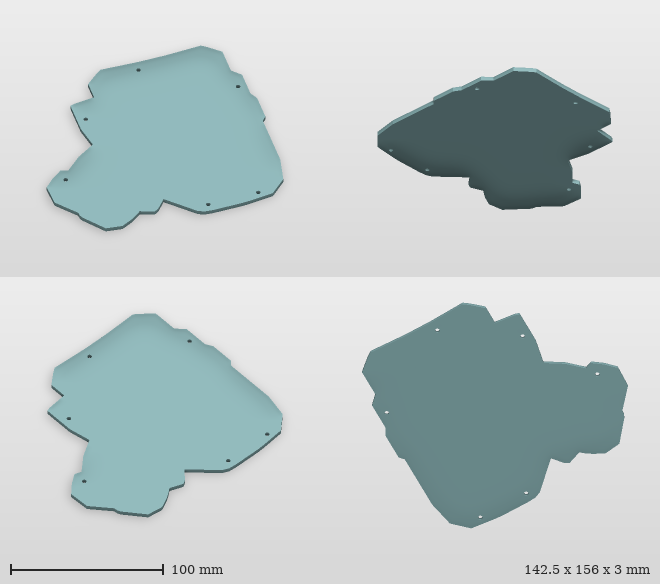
import cadquery as cq

length_x = 142.5
length_y = 156.0
thickness = 3.0
hole_diameter = 3.0

top_step_y = 153.2
left_shoulder_y = 147.4
left_foot_y = 54.8
lower_ledge_y = 37.6

left_middle_y = (left_shoulder_y + left_foot_y) / 2
left_corner_x = 9.7

left_profile = [
    (1.1, 9.0),
    (0.8, 16.8),
    (0.6, 20.9),
    (0, 34.6),
    (0.8, 35.7),
    (3.1, 38.8),
    (left_corner_x, left_shoulder_y - left_middle_y),
]
left_lower_half = [(x, left_middle_y - rise) for x, rise in reversed(left_profile)]
left_upper_half = [(x, left_middle_y + rise) for x, rise in left_profile]
left_side = left_lower_half + left_upper_half

top_edge = [
    (27.5, left_shoulder_y),
    (33.2, top_step_y),
    (51.0, top_step_y),
    (56.2, length_y),
    (73.5, length_y),
    (76.6, top_step_y),
    (113.2, top_step_y),
    (130.5, 149.6),
]

right_side = [
    (140.4, 139.1),
    (142.3, 122.1),
    (length_x, 116.4),
    (length_x, 97.3),
    (142.1, 91.5),
    (140.2, 87.4),
    (123.0, 69.4),
]

lobe = [
    (130.3, 63.3),
    (132.0, 60.4),
    (128.5, 51.2),
    (131.3, 47.7),
    (134.2, 43.4),
    (137.6, 36.3),
    (136.2, 25.3),
    (122.0, 13.5),
    (119.6, 12.6),
    (117.3, 12.5),
    (103.7, 0.6),
    (89.0, 0),
    (82.7, 6.4),
    (77.5, 13.4),
    (79.2, 18.1),
    (69.7, 28.4),
    (62.1, 40.7),
]

lower_tab = [
    (46.5, lower_ledge_y),
    (24.6, lower_ledge_y),
    (23.7, 40.2),
    (22.2, left_foot_y),
]

right_hole_x = 136.8
hole_centers = [
    (42.5, left_shoulder_y),
    (right_hole_x, 130.3),
    (right_hole_x, 95.8),
    (8.1, 90.0),
    (39.2, 43.4),
    (86.5, 13.9),
]

outline = left_side + top_edge + right_side + lobe + lower_tab
plate = cq.Workplane("XY").polyline(outline).close().extrude(thickness)
holes = cq.Workplane("XY").pushPoints(hole_centers).circle(hole_diameter / 2).extrude(thickness)

result = plate.cut(holes)